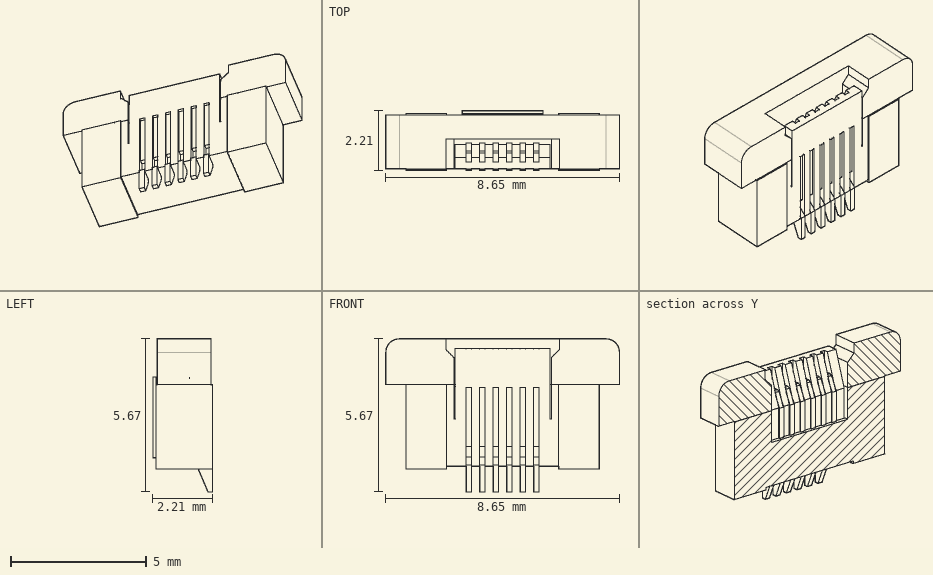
import cadquery as cq

base_height = 3.02
cap_height = 1.7
cap_top = base_height + cap_height
tab_drop = 0.1
pin_tip_z = -0.95

cap_width = 8.65
cap_round = 0.5
body_depth = 2.0
front_y = -body_depth / 2
back_y = body_depth / 2

tab_inner_x = 2.07
tab_outer_x = 3.58
tab_proud = 0.05
tab_front_y = front_y - tab_proud
tab_back_y = back_y + tab_proud

socket_half_width = 1.8
mouth_half_width = 2.1
mouth_straight = 0.4
mouth_slope = mouth_half_width - socket_half_width
socket_back_y = 0.1
socket_floor_z = cap_top - 2.97

tongue_width = 3.52
tongue_top_z = cap_top - 0.365
tongue_top_back_y = -0.575
tongue_foot_back_y = -0.09
tongue_slope_height = 1.4

contact_count = 6
contact_pitch = 0.5
contact_width = 0.2
contact_front_y = -0.74
contact_crest_y = -0.41
contact_bend_y = -0.33
contact_foot_back_y = -0.04
contact_bend_drop = 0.05
contact_slope_height = 0.53
contact_bend_z = tongue_top_z - tongue_slope_height + contact_slope_height
contact_top_z = contact_bend_z + contact_bend_drop

tail_heel_y = -0.53
tail_heel_z = -0.13
tail_tip_thickness = 0.17
tail_front_top_z = 0.05
tail_slope_top_z = 0.34

recess_top_z = cap_top - 1.8
recess_floor_y = front_y + 0.1
window_height = 0.735

pad_diameter = 3.0
pad_gap = 0.032
pad_back_y = 1.16
pad_center_z = 1.81


def box(x_min, x_max, y_min, y_max, z_min, z_max):
    return (
        cq.Workplane("XY")
        .box(x_max - x_min, y_max - y_min, z_max - z_min, centered=False)
        .translate((x_min, y_min, z_min))
    )


def centered_box(width, y_min, y_max, z_min, z_max, x=0):
    return box(x - width / 2, x + width / 2, y_min, y_max, z_min, z_max)


def side_profile(points, width, x=0):
    """Extrude a closed (y, z) outline along X, centred on x."""
    return (
        cq.Workplane("YZ", origin=(x - width / 2, 0, 0))
        .polyline(points)
        .close()
        .extrude(width)
    )


def make_cap_block():
    block = centered_box(cap_width, front_y, back_y, base_height, cap_top)
    return block.edges("|Y and >Z").fillet(cap_round)


def make_base_block():
    return centered_box(2 * tab_inner_x, front_y, back_y, 0, base_height)


def make_tab():
    return box(tab_inner_x, tab_outer_x, tab_front_y, tab_back_y, -tab_drop, base_height)


def make_socket():
    slope_top_z = cap_top - mouth_straight
    right_side = [
        (socket_half_width, socket_floor_z),
        (socket_half_width, slope_top_z - mouth_slope),
        (mouth_half_width, slope_top_z),
        (mouth_half_width, cap_top),
    ]
    left_side = [(-x, z) for x, z in reversed(right_side)]
    return (
        cq.Workplane("XZ", origin=(0, socket_back_y, 0))
        .polyline(right_side + left_side)
        .close()
        .extrude(socket_back_y - front_y)
    )


def make_tongue():
    outline = [
        (front_y, socket_floor_z),
        (tongue_foot_back_y, socket_floor_z),
        (tongue_foot_back_y, tongue_top_z - tongue_slope_height),
        (tongue_top_back_y, tongue_top_z),
        (front_y, tongue_top_z),
    ]
    return side_profile(outline, tongue_width)


def make_contact(x):
    outline = [
        (tab_front_y, pin_tip_z),
        (tab_front_y + tail_tip_thickness, pin_tip_z),
        (tail_heel_y, tail_heel_z),
        (tail_heel_y, socket_floor_z),
        (contact_foot_back_y, socket_floor_z),
        (contact_foot_back_y, contact_bend_z - contact_slope_height),
        (contact_bend_y, contact_bend_z),
        (contact_crest_y, contact_top_z),
        (contact_front_y, contact_top_z),
        (contact_front_y, tail_slope_top_z),
        (tab_front_y, tail_front_top_z),
    ]
    return side_profile(outline, contact_width, x)


def make_contact_cutter(x):
    recess = centered_box(contact_width, front_y, recess_floor_y, 0, recess_top_z, x)
    window = centered_box(contact_width, front_y, contact_front_y, 0, window_height, x)
    notch = centered_box(
        contact_width, contact_front_y, socket_back_y, socket_floor_z, tongue_top_z, x
    )
    return recess.union(window).union(notch)


def make_cap():
    return make_cap_block().cut(make_socket())


def make_housing():
    """Base with its side tabs, the tongue and the contacts as one solid."""
    tab = make_tab()
    base = make_base_block().union(tab).union(tab.mirror("YZ"))
    housing = base.cut(make_socket()).union(make_tongue())
    for i in range(contact_count):
        x = (i - (contact_count - 1) / 2) * contact_pitch
        housing = housing.cut(make_contact_cutter(x)).union(make_contact(x))
    return housing


def make_pad():
    return (
        cq.Workplane("XZ", origin=(0, pad_back_y, pad_center_z))
        .circle(pad_diameter / 2)
        .extrude(pad_back_y - back_y - pad_gap)
    )


housing = make_housing()
cap = make_cap()
pad = make_pad()
result = cq.Compound.makeCompound([housing.val(), cap.val(), pad.val()])